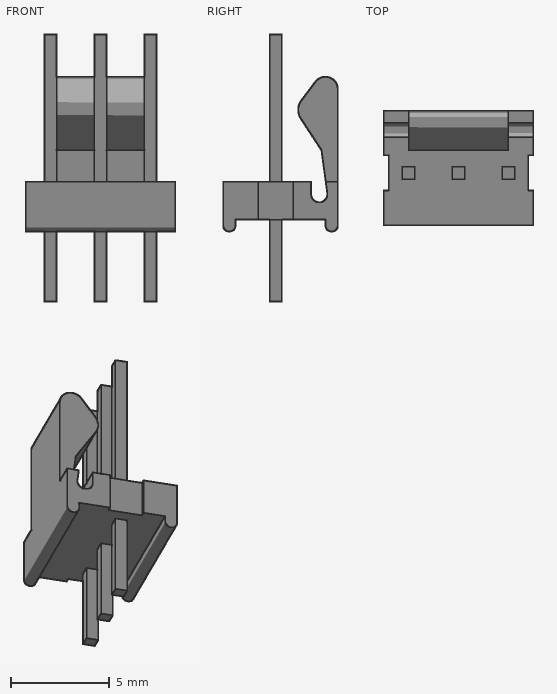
import cadquery as cq
import math

pin_count = 3
pin_pitch = 2.54
pin_size = 0.63
pin_length = 13.59
pin_top = 7.49

base_width = 7.62
base_depth = 5.85
base_back = 3.17
base_front = base_back - base_depth
base_height = 1.93
notch_depth = 0.26
notch_length = 1.78

foot_width = 0.64
foot_radius = foot_width / 2
foot_bottom = -2.54

slot_radius = 0.41
slot_y = 2.22
slot_z = -0.64

latch_width = (pin_count - 1) * pin_pitch
latch_top = 5.34
tip_radius = 0.64
nose_y = 0.96
nose_z = 3.68
nose_radius = 0.79
knee_y = 2.32
knee_z = 1.6


def tangent_point(center, radius, outside, side):
    """Point where a line from `outside` touches a circle; `side` (+1 or -1) picks which one."""
    dy = outside[0] - center[0]
    dz = outside[1] - center[1]
    angle = math.atan2(dz, dy) + side * math.acos(radius / math.hypot(dy, dz))
    return on_circle(center, radius, angle)


def on_circle(center, radius, angle):
    return (center[0] + radius * math.cos(angle), center[1] + radius * math.sin(angle))


def profile_plane(width):
    """YZ sketch plane at the low-X end of a centred extrusion."""
    return cq.Workplane("YZ", origin=(-width / 2, 0, 0))


slot_center = (slot_y, slot_z)
knee = (knee_y, knee_z)
slot_tangent = tangent_point(slot_center, slot_radius, knee, -1)
root_y = knee_y + (slot_tangent[0] - knee_y) * knee_z / (knee_z - slot_tangent[1])


def make_base():
    foot_center_z = foot_bottom + foot_radius
    body = (
        profile_plane(base_width)
        .moveTo(base_front, 0)
        .lineTo(slot_y - slot_radius, 0)
        .lineTo(slot_y - slot_radius, slot_z)
        .threePointArc((slot_y, slot_z - slot_radius), slot_tangent)
        .lineTo(root_y, 0)
        .lineTo(base_back, 0)
        .lineTo(base_back, foot_center_z)
        .threePointArc((base_back - foot_radius, foot_bottom), (base_back - foot_width, foot_center_z))
        .lineTo(base_back - foot_width, -base_height)
        .lineTo(base_front + foot_width, -base_height)
        .lineTo(base_front + foot_width, foot_center_z)
        .threePointArc((base_front + foot_radius, foot_bottom), (base_front, foot_center_z))
        .close()
        .extrude(base_width)
    )
    notches = (
        cq.Workplane("XY")
        .pushPoints([(-base_width / 2, 0), (base_width / 2, 0)])
        .rect(2 * notch_depth, notch_length)
        .extrude(-base_height)
    )
    return body.cut(notches)


def make_latch():
    tip_center = (base_back - tip_radius, latch_top - tip_radius)
    nose = (nose_y, nose_z)
    tip_tangent = tangent_point(tip_center, tip_radius, nose, -1)
    latch = (
        profile_plane(latch_width)
        .moveTo(base_back, 0)
        .lineTo(base_back, tip_center[1])
        .threePointArc(on_circle(tip_center, tip_radius, math.pi / 2), tip_tangent)
        .lineTo(*nose)
        .lineTo(*knee)
        .lineTo(root_y, 0)
        .close()
        .extrude(latch_width)
    )
    nose_edge = cq.selectors.NearestToPointSelector((0, nose_y, nose_z))
    return latch.edges(nose_edge).fillet(nose_radius)


def make_pins():
    return (
        cq.Workplane("XY", origin=(0, 0, pin_top - pin_length))
        .rarray(pin_pitch, 0.14, pin_count, 1)
        .rect(pin_size, pin_size)
        .extrude(pin_length)
    )


result = make_base().union(make_latch()).union(make_pins())